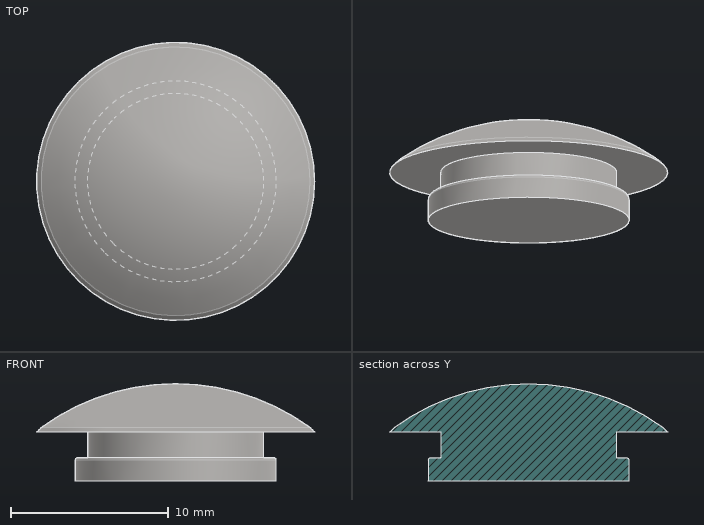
import cadquery as cq

cap_diameter = 17.7
total_height = 6.2

neck_diameter = 11.2
lip_diameter = 12.8
lip_height = 1.49
lip_fillet = 0.16

cap_underside = 3.12
rim_bevel = 0.3

cap_radius = cap_diameter / 2
neck_radius = neck_diameter / 2
lip_radius = lip_diameter / 2
dome_radius = cap_radius - rim_bevel
dome_base = cap_underside + rim_bevel
dome_rise = total_height - dome_base

sphere_radius = (dome_radius**2 + dome_rise**2) / (2 * dome_rise)
sphere_center = total_height - sphere_radius
arc_mid_radius = dome_radius / 2
arc_mid_height = sphere_center + (sphere_radius**2 - arc_mid_radius**2) ** 0.5

half_section = (
    cq.Workplane("XZ")
    .moveTo(0, 0)
    .lineTo(lip_radius, 0)
    .lineTo(lip_radius, lip_height - lip_fillet)
    .radiusArc((lip_radius - lip_fillet, lip_height), -lip_fillet)
    .lineTo(neck_radius, lip_height)
    .lineTo(neck_radius, cap_underside)
    .lineTo(cap_radius, cap_underside)
    .lineTo(dome_radius, dome_base)
    .threePointArc((arc_mid_radius, arc_mid_height), (0, total_height))
    .close()
)

result = half_section.revolve(360, (0, 0, 0), (0, 1, 0))